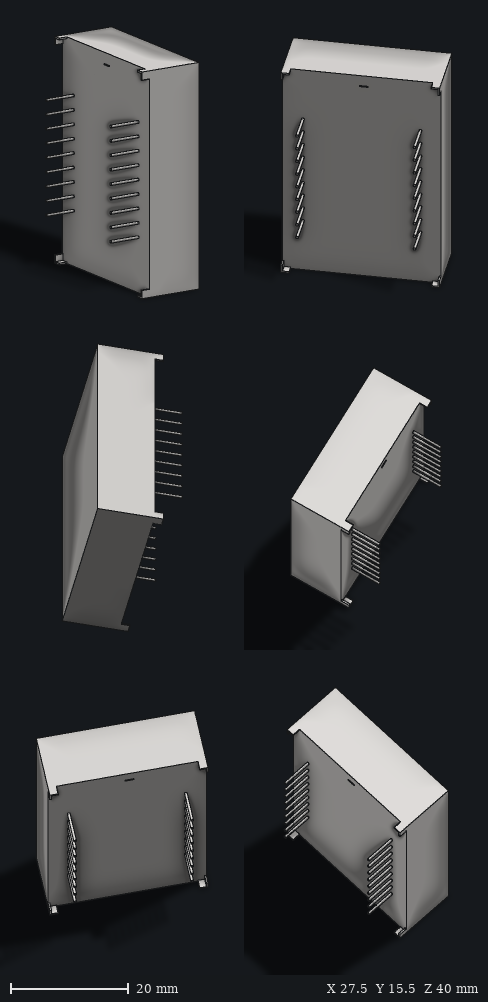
import cadquery as cq

body_width = 27.5
body_height = 40.0
body_depth = 10.0
total_depth = 15.5

foot_leg = 1.5
foot_wall = 0.3
foot_length = 1.5

pins_per_row = 9
pin_span = 20.3
pin_pitch = pin_span / (pins_per_row - 1)
row_spacing = 20.3
pin_diameter = 0.5
pin_length = total_depth - body_depth

rib_width = 1.5
rib_height = 0.15
rib_rise = 0.1
rib_x = 0.35
rib_z = 17.9

pin_face = cq.Workplane("XZ")


def make_body():
    return pin_face.rect(body_width, body_height).extrude(-body_depth)


def make_foot(side_x, side_z):
    """L-shaped foot in the corner given by the signs of X and Z."""
    corner_x = side_x * body_width / 2
    corner_z = side_z * body_height / 2
    leg_x = corner_x - side_x * foot_leg
    leg_z = corner_z - side_z * foot_leg
    wall_x = corner_x - side_x * foot_wall
    wall_z = corner_z - side_z * foot_wall
    outline = [
        (corner_x, corner_z),
        (leg_x, corner_z),
        (leg_x, wall_z),
        (wall_x, wall_z),
        (wall_x, leg_z),
        (corner_x, leg_z),
    ]
    return pin_face.polyline(outline).close().extrude(foot_length)


def make_pins():
    return (
        pin_face.rarray(row_spacing, pin_pitch, 2, pins_per_row)
        .circle(pin_diameter / 2)
        .extrude(pin_length)
    )


def make_rib():
    return pin_face.center(rib_x, rib_z).rect(rib_width, rib_height).extrude(rib_rise)


result = make_body()
for side_x in (-1, 1):
    for side_z in (-1, 1):
        result = result.union(make_foot(side_x, side_z))
result = result.union(make_pins())
result = result.union(make_rib())